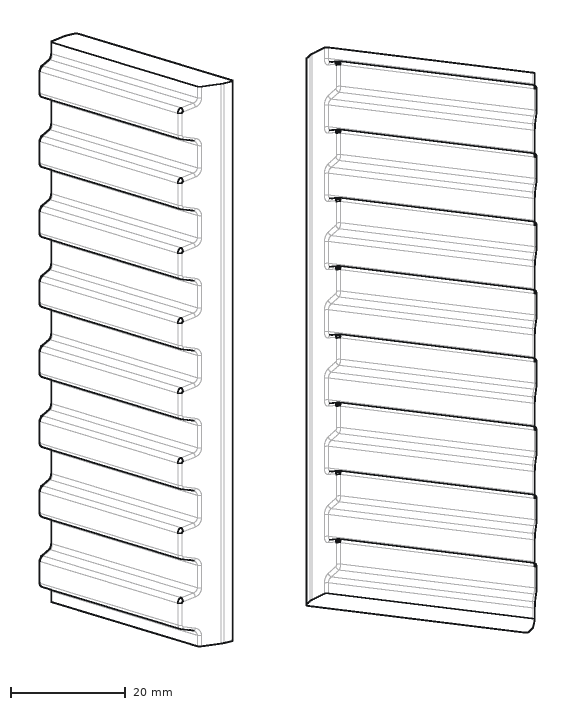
import cadquery as cq
import math

width = 41.2
depth = 10.9
height = 101.6

tooth_count = 8
tooth_depth = 3.7
tooth_tip_flat = 4.0
flank_angle = 14.0
tip_radius = 0.9
root_radius = 0.9
tooth_end_radius = 0.6

straight_band = 2.7
side_taper_angle = 15.0
side_bend_radius = 2.3
back_edge_radius = 0.6

margin = 0.1

pitch = height / tooth_count
front_y = -depth / 2
back_y = depth / 2
root_y = front_y + tooth_depth
bend_y = back_y - straight_band
front_half_width = width / 2 - (bend_y - front_y) * math.tan(math.radians(side_taper_angle))

tip_setback = tip_radius * math.tan(math.radians(90 - flank_angle) / 2)
tip_half = tooth_tip_flat / 2 + tip_setback
root_half = tip_half + tooth_depth * math.tan(math.radians(flank_angle))


def edge_box(y_min, y_max):
    """Selector for edges in a Y range, leaving out those on the two end faces."""
    z_limit = height / 2 - margin
    low_corner = (-width, y_min - margin, -z_limit)
    high_corner = (width, y_max + margin, z_limit)
    return cq.selectors.BoxSelector(low_corner, high_corner)


def tooth_profile():
    """Sharp-cornered YZ outline of the toothed block."""
    points = [(back_y, -height / 2), (root_y, -height / 2)]
    for index in range(tooth_count):
        center_z = -height / 2 + (index + 0.5) * pitch
        points.append((root_y, center_z - root_half))
        points.append((front_y, center_z - tip_half))
        points.append((front_y, center_z + tip_half))
        points.append((root_y, center_z + root_half))
    points += [(root_y, height / 2), (back_y, height / 2)]
    return points


def toothed_block():
    """Block with rounded teeth, running straight across the full width."""
    body = cq.Workplane("YZ").polyline(tooth_profile()).close().extrude(width / 2, both=True)
    body = body.edges("|X").edges(edge_box(root_y, root_y)).fillet(root_radius)
    return body.edges("|X").edges(edge_box(front_y, front_y)).fillet(tip_radius)


def side_envelope():
    """Prism along Z with tapered sides, softened bends and rounded back corners."""
    outline = [
        (-front_half_width, front_y),
        (front_half_width, front_y),
        (width / 2, bend_y),
        (width / 2, back_y),
        (-width / 2, back_y),
        (-width / 2, bend_y),
    ]
    prism = cq.Workplane("XY").polyline(outline).close().extrude(height / 2, both=True)
    prism = prism.edges("|Z").edges(edge_box(back_y, back_y)).fillet(back_edge_radius)
    return prism.edges("|Z").edges(edge_box(bend_y, bend_y)).fillet(side_bend_radius)


def round_tooth_ends(body):
    """Round the toothed outline where it meets the two tapered sides."""
    return body.edges(edge_box(front_y, root_y)).edges("not |X").fillet(tooth_end_radius)


result = round_tooth_ends(toothed_block().intersect(side_envelope()))